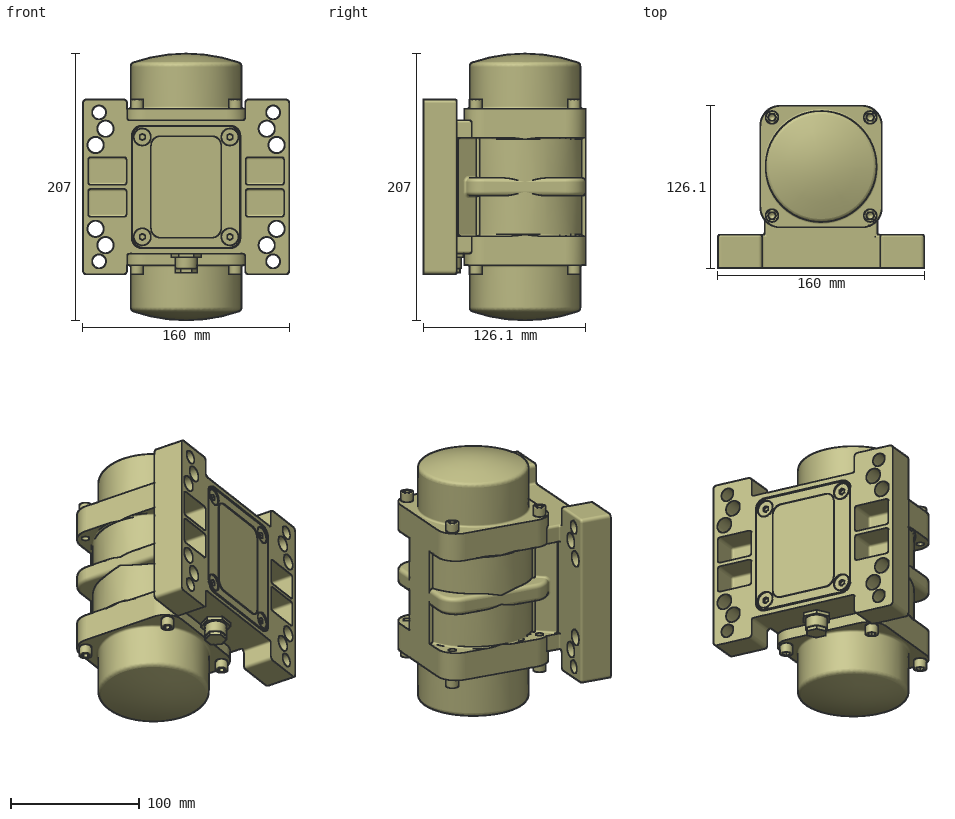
import cadquery as cq
import math

motor_half_height = 103.5
body_radius = 47.2
body_flare = 1.2
cap_radius = 43.0
cap_base_fillet = 1.7
cap_edge_fillet = 3.5
dome_edge_z = 95.8

square_side = 2 * body_radius
square_corner_radius = 15.5
flange_inner_z = 38.0
flange_outer_z = 60.7
rib_thickness = 14.0
rib_edge_fillet = 3.3
back_pad_width = 33.5

screw_offset = 38.0
screw_hole_diameter = 6.0
screw_head_diameter = 10.0
screw_head_height = 7.2
screw_head_top_fillet = 0.5
screw_head_bottom_fillet = 0.6
screw_socket_corners = 6.5
screw_socket_depth = 3.1
screw_socket_tip = 1.5

bracket_width = 160.0
bracket_height = 135.8
bracket_front_y = -78.9
bracket_back_y = -52.8
bracket_thickness = bracket_back_y - bracket_front_y
notch_width = 91.5
web_height = 103.5
bracket_corner_radius = 3.0
notch_corner_radius = 1.9
bracket_back_fillet = 1.9

block_width = 87.8
block_corner_radius = 2.0
block_root_fillet = 1.0
neck_start = (30.0, -36.5)
neck_end = (41.8, -51.8)
neck_side_fillet = 2.0
neck_end_fillet = 1.5
neck_rib_fillet = 1.7

bracket_holes = [
    (67.5, 57.8, 10.5),
    (62.5, 45.1, 12.5),
    (70.2, 32.5, 12.5),
]

pocket_width = 29.8
pocket_height = 21.5
pocket_depth = 22.8
pocket_corner_radius = 2.0
pocket_floor_fillet = 1.9
pocket_x = 61.0
pocket_spacing_z = 24.6

cover_width = 84.5
cover_height = 95.2
cover_corner_radius = 8.3
cover_gap = 0.6
cover_gap_depth = 1.0
label_width = 54.5
label_height = 78.7
label_corner_radius = 7.2
label_depth = 0.6
cover_screw_x = 34.0
cover_screw_z = 38.7
cover_screw_diameter = 13.2
cover_screw_recess = 1.0
cover_socket_corners = 5.0
cover_socket_depth = 3.1

gland_y = -57.8
gland_nut_corners = 23.2
gland_nut_height = 3.0
gland_barrel_diameter = 17.0
gland_barrel_height = 8.7
gland_cap_height = 3.1
gland_barrel_fillet = 1.2

SIGNS = (-1, 1)


def mirrored(x, y):
    """The four points (+-x, +-y)."""
    return [(i * x, j * y) for i in SIGNS for j in SIGNS]


def edge_near(x, y, z, reach=2.0):
    """Selector for the edges whose centre is close to a point."""
    return cq.selectors.BoxSelector(
        (x - reach, y - reach, z - reach), (x + reach, y + reach, z + reach)
    )


def rounded_square(z_low, z_high):
    return (
        cq.Workplane("XY", origin=(0, 0, z_low))
        .rect(square_side, square_side)
        .extrude(z_high - z_low)
        .edges("|Z")
        .fillet(square_corner_radius)
    )


def front_plate(width, height, corner_radius, depth):
    """Rounded rectangle that reaches from the bracket front back into it."""
    return (
        cq.Workplane("XZ", origin=(0, bracket_front_y, 0))
        .rect(width, height)
        .extrude(-depth)
        .edges("|Y")
        .fillet(corner_radius)
    )


def make_body():
    """Tube between the flanges, flared where it meets them."""
    flare_radius = body_radius + body_flare
    flare_z = flange_inner_z - body_flare
    tube = (
        cq.Workplane("XZ")
        .moveTo(0, -flange_inner_z)
        .lineTo(flare_radius, -flange_inner_z)
        .radiusArc((body_radius, -flare_z), body_flare)
        .lineTo(body_radius, flare_z)
        .radiusArc((flare_radius, flange_inner_z), body_flare)
        .lineTo(0, flange_inner_z)
        .close()
        .revolve(360, (0, 0, 0), (0, 1, 0))
    )
    tube = tube.intersect(rounded_square(-flange_inner_z, flange_inner_z))
    back_pad = cq.Workplane("XY").box(
        back_pad_width, body_radius, 2 * flange_inner_z, centered=(True, False, True)
    )
    return tube.union(back_pad)


def make_rib():
    rib = rounded_square(-rib_thickness / 2, rib_thickness / 2)
    return rib.faces("<Z or >Z").edges().fillet(rib_edge_fillet)


def neck_side_arc():
    """Ends of the arc that blends the tube into the neck side at +X."""
    start = cq.Vector(*neck_start)
    along = (cq.Vector(*neck_end) - start).normalized()
    outward = cq.Vector(-along.y, along.x)
    base = start + outward * neck_side_fillet
    centre_distance = body_radius + neck_side_fillet
    shift = math.sqrt(centre_distance**2 - base.dot(outward) ** 2) - base.dot(along)
    centre = base + along * shift
    at_tube = centre * (body_radius / centre_distance)
    at_side = centre - outward * neck_side_fillet
    return (at_tube.x, at_tube.y), (at_side.x, at_side.y)


def make_ribbed_neck():
    """Neck between the flanges, widening from the tube to the bracket, with the rib across it."""
    at_tube, at_side = neck_side_arc()
    end_x, end_y = neck_end
    half = (
        cq.Workplane("XY", origin=(0, 0, -flange_outer_z))
        .lineTo(*at_tube)
        .radiusArc(at_side, neck_side_fillet)
        .lineTo(end_x, end_y)
        .lineTo(end_x, bracket_back_y)
        .lineTo(0, bracket_back_y)
        .close()
        .extrude(2 * flange_outer_z)
    )
    neck = half.union(half.mirror("YZ"))
    plate = cq.Workplane("XY", origin=(0, 0, flange_inner_z)).box(
        bracket_width, bracket_width, flange_outer_z - flange_inner_z, centered=(True, True, False)
    )
    neck = neck.union(plate).union(plate.mirror("XY"))
    middle_x = (at_side[0] + end_x) / 2
    middle_y = (at_side[1] + end_y) / 2
    for i, j in mirrored(1, 1):
        neck = neck.edges(edge_near(i * middle_x, middle_y, j * flange_inner_z)).fillet(neck_end_fillet)
    between_flanges = cq.Workplane("XY").box(bracket_width, bracket_width, 2 * flange_inner_z)
    neck = neck.intersect(between_flanges).union(make_rib())
    for i in SIGNS:
        neck = neck.edges(edge_near(i * middle_x, middle_y, 0)).fillet(neck_rib_fillet)
    return neck


def make_cap():
    """Upper end cap: cylinder with a shallow spherical dome."""
    dome_rise = motor_half_height - dome_edge_z
    dome_radius = (cap_radius**2 + dome_rise**2) / (2 * dome_rise)
    return (
        cq.Workplane("XZ")
        .moveTo(0, flange_inner_z)
        .lineTo(cap_radius + cap_base_fillet, flange_inner_z)
        .lineTo(cap_radius + cap_base_fillet, flange_outer_z)
        .radiusArc((cap_radius, flange_outer_z + cap_base_fillet), cap_base_fillet)
        .lineTo(cap_radius, dome_edge_z)
        .radiusArc((0, motor_half_height), -dome_radius)
        .close()
        .revolve(360, (0, 0, 0), (0, 1, 0))
        .edges(edge_near(0, 0, dome_edge_z))
        .fillet(cap_edge_fillet)
    )


def make_flange_end():
    """Upper flange with its cap, screw holes and screw heads."""
    corners = mirrored(screw_offset, screw_offset)
    holes = (
        cq.Workplane("XY", origin=(0, 0, flange_inner_z))
        .pushPoints(corners)
        .circle(screw_hole_diameter / 2)
        .extrude(flange_outer_z - flange_inner_z)
    )
    heads = (
        cq.Workplane("XY", origin=(0, 0, flange_outer_z))
        .pushPoints(corners)
        .circle(screw_head_diameter / 2)
        .extrude(screw_head_height)
        .faces(">Z")
        .edges()
        .fillet(screw_head_top_fillet)
        .faces("<Z")
        .edges()
        .fillet(screw_head_bottom_fillet)
    )
    sockets = (
        cq.Workplane("XY", origin=(0, 0, flange_outer_z + screw_head_height))
        .pushPoints(corners)
        .polygon(6, screw_socket_corners)
        .extrude(-screw_socket_depth)
    )
    tip_radius = screw_socket_corners * math.cos(math.pi / 6) / 2
    tip_z = flange_outer_z + screw_head_height - screw_socket_depth
    tip = cq.Solid.makeCone(tip_radius, 0, screw_socket_tip, pnt=(0, 0, tip_z), dir=(0, 0, -1))
    for x, y in corners:
        sockets = sockets.union(cq.Workplane(tip.translate((x, y, 0))))
    flange = rounded_square(flange_inner_z, flange_outer_z).union(make_cap())
    return flange.cut(holes).union(heads).cut(sockets)


def make_block():
    """Block that carries the flanges on the bracket."""
    depth = -bracket_front_y
    block = (
        cq.Workplane("XZ")
        .rect(block_width, web_height)
        .extrude(depth)
        .edges("|Y")
        .fillet(block_corner_radius)
    )
    flange_zone = rounded_square(-flange_outer_z, flange_outer_z)
    gap = cq.Workplane("XY").box(bracket_width, -2 * bracket_back_y, 2 * flange_inner_z)
    return block.cut(flange_zone).cut(gap)


def make_bracket():
    bracket_middle_y = (bracket_front_y + bracket_back_y) / 2
    edge_x = bracket_width / 2
    edge_z = bracket_height / 2
    notch_x = notch_width / 2
    web_z = web_height / 2
    quarter = [(edge_x, edge_z), (notch_x, edge_z), (notch_x, web_z)]
    upper = quarter + [(-x, z) for x, z in reversed(quarter)]
    lower = [(x, -z) for x, z in reversed(upper)]
    plate = (
        cq.Workplane("XZ", origin=(0, bracket_front_y, 0))
        .polyline(upper + lower)
        .close()
        .extrude(-bracket_thickness)
    )
    for x, z in mirrored(notch_x, web_z):
        plate = plate.edges(edge_near(x, bracket_middle_y, z)).fillet(notch_corner_radius)
    for x in (notch_x, edge_x):
        for i, j in mirrored(1, 1):
            corner = edge_near(i * x, bracket_middle_y, j * edge_z)
            plate = plate.edges(corner).fillet(bracket_corner_radius)
    return plate.faces(">Y").edges().fillet(bracket_back_fillet)


def make_bracket_with_block():
    """Bracket and block, with fillets along the roots of the block's sides."""
    part = make_bracket().union(make_block())
    root_z = (flange_inner_z + web_height / 2 - block_corner_radius) / 2
    for x, z in mirrored(block_width / 2, root_z):
        part = part.edges(edge_near(x, bracket_back_y, z)).edges("|Z").fillet(block_root_fillet)
    return part


def cut_bracket_features(part):
    for x, z, diameter in bracket_holes:
        holes = (
            cq.Workplane("XZ", origin=(0, bracket_front_y, 0))
            .pushPoints(mirrored(x, z))
            .circle(diameter / 2)
            .extrude(-bracket_thickness)
        )
        part = part.cut(holes)
    pocket = front_plate(pocket_width, pocket_height, pocket_corner_radius, pocket_depth)
    pocket = pocket.faces(">Y").edges().fillet(pocket_floor_fillet)
    for x, z in mirrored(pocket_x, pocket_spacing_z / 2):
        part = part.cut(pocket.translate((x, 0, z)))
    return part


def cut_cover(part):
    """Gap around the cover, its label recess and its four screws."""
    gap = front_plate(cover_width, cover_height, cover_corner_radius, cover_gap_depth).cut(
        front_plate(
            cover_width - 2 * cover_gap,
            cover_height - 2 * cover_gap,
            cover_corner_radius - cover_gap,
            cover_gap_depth,
        )
    )
    label = front_plate(label_width, label_height, label_corner_radius, label_depth)
    front = cq.Plane(origin=(0, bracket_front_y, 0), xDir=(0, 0, 1), normal=(0, 1, 0))
    screws = cq.Workplane(front).pushPoints(mirrored(cover_screw_z, cover_screw_x))
    recesses = screws.circle(cover_screw_diameter / 2).extrude(cover_screw_recess)
    sockets = screws.polygon(6, cover_socket_corners).extrude(cover_socket_depth)
    return part.cut(gap).cut(label).cut(recesses).cut(sockets)


def make_gland():
    """Cable gland: hexagonal nut, round barrel and hexagonal cap, downwards."""
    nut_z = -web_height / 2
    barrel_z = nut_z - gland_nut_height
    cap_z = barrel_z - gland_barrel_height
    nut = (
        cq.Workplane("XY", origin=(0, gland_y, nut_z))
        .polygon(6, gland_nut_corners)
        .extrude(-gland_nut_height)
    )
    barrel = (
        cq.Workplane("XY", origin=(0, gland_y, barrel_z))
        .circle(gland_barrel_diameter / 2)
        .extrude(-gland_barrel_height)
        .faces("<Z")
        .edges()
        .fillet(gland_barrel_fillet)
    )
    cap = (
        cq.Workplane("XY", origin=(0, gland_y, cap_z))
        .polygon(6, gland_barrel_diameter)
        .extrude(-gland_cap_height)
    )
    return nut.union(barrel).union(cap)


flange_end = make_flange_end()
result = make_body().union(make_ribbed_neck())
result = result.union(flange_end).union(flange_end.mirror("XY"))
result = result.union(make_bracket_with_block())
result = cut_bracket_features(result)
result = cut_cover(result)
result = result.union(make_gland())